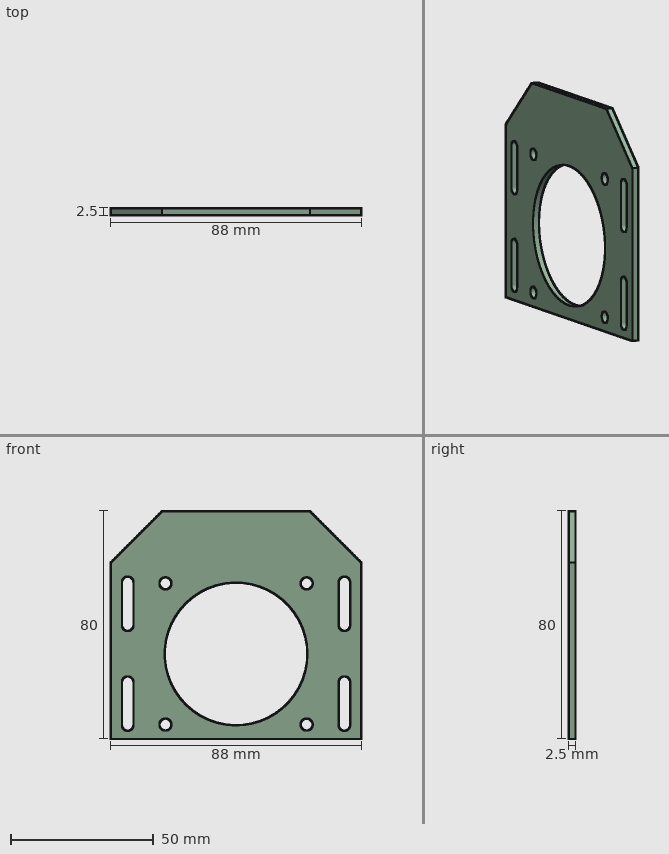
import cadquery as cq

width = 88.0
thickness = 2.5
height = 80.0
corner_cut = 18.0

bore_diameter = 50.0
bore_height = 29.9
hole_diameter = 4.1
hole_spacing = 49.5

slot_width = 4.0
slot_length = 19.0
slot_spacing_x = 76.0
slot_spacing_z = 35.0
lower_slot_height = 12.5
slot_middle_height = lower_slot_height + slot_spacing_z / 2


def face_sketch(centre_height):
    """Workplane on the rear (+Y) face, facing -Y, with its origin on the centreline."""
    return cq.Workplane("XZ", origin=(0, thickness / 2, centre_height))


def make_plate():
    """Rectangular plate with both upper corners cut off at 45 degrees."""
    plate = cq.Workplane("XY").box(width, thickness, height, centered=(True, True, False))
    upper_corners = plate.edges("|Y").edges(">Z")
    return upper_corners.chamfer(corner_cut)


def make_bore():
    return face_sketch(bore_height).circle(bore_diameter / 2).extrude(thickness)


def make_mounting_holes():
    return (
        face_sketch(bore_height)
        .rect(hole_spacing, hole_spacing, forConstruction=True)
        .vertices()
        .circle(hole_diameter / 2)
        .extrude(thickness)
    )


def make_slots():
    return (
        face_sketch(slot_middle_height)
        .rect(slot_spacing_x, slot_spacing_z, forConstruction=True)
        .vertices()
        .slot2D(slot_length, slot_width, angle=90)
        .extrude(thickness)
    )


result = make_plate().cut(make_bore()).cut(make_mounting_holes()).cut(make_slots())